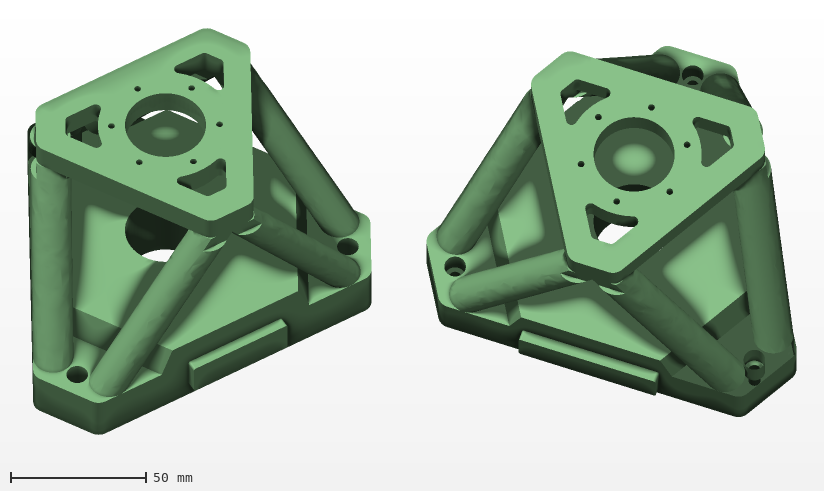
import cadquery as cq
import math

SECTORS = 3
SECTOR_ANGLE = 360 / SECTORS
OVERLAP = 1.0

corner_fillet = 5.0
center_hole_diameter = 30.0

base_side_distance = 50.0
base_tip_distance = 76.0
base_height = 30.5
step_height = 19.0
step_wall_top_distance = 48.5
step_wall_foot_distance = 52.5

mount_hole_distance = 67.5
mount_hole_diameter = 4.5
counterbore_diameter = 8.0
counterbore_depth = 10.0

block_projection = 4.0
block_height = 13.0
block_fillet = 1.0
rear_block_length = 53.5
side_block_length = 40.5
side_block_angle = -SECTOR_ANGLE

plate_side_distance = 32.0
plate_tip_distance = 48.0
plate_thickness = 10.0
total_height = 93.0
plate_bottom = total_height - plate_thickness

window_side_distance = 22.0
window_tip_distance = 37.0
window_inner_radius = 25.0
window_fillet = 2.0

tap_hole_count = 6
tap_circle_radius = 20.0
tap_hole_diameter = 2.5
tap_hole_depth = 6.0
drill_point_angle = 118.0

strut_diameter = 15.0
strut_plane_distance = base_side_distance - strut_diameter / 2
strut_foot_offset = 49.9
strut_head_offset = 4.0
neck_bottom = 78.0
neck_thickness = 2 * (plate_tip_distance - strut_plane_distance)


def turned(shape, angle):
    """Turn a shape about the part's vertical axis."""
    return shape.rotate((0, 0, 0), (0, 0, 1), angle)


def truncated_triangle(side_distance, tip_distance):
    """Sketch a triangle pointing to -Y, with its three tips cut off square."""
    half_tip = (2 * side_distance - tip_distance) * math.tan(math.radians(30))
    points = []
    for sector in range(SECTORS):
        tip_direction = math.radians(-90 + sector * SECTOR_ANGLE)
        for side in (-half_tip, half_tip):
            x = tip_distance * math.cos(tip_direction) - side * math.sin(tip_direction)
            y = tip_distance * math.sin(tip_direction) + side * math.cos(tip_direction)
            points.append((x, y))
    return cq.Workplane("XY").polyline(points).close()


def make_base():
    base = truncated_triangle(base_side_distance, base_tip_distance).extrude(base_height)
    base = base.edges("|Z").fillet(corner_fillet)

    step_cutter = (
        cq.Workplane("YZ")
        .polyline([
            (-step_wall_top_distance, base_height),
            (-step_wall_foot_distance, step_height),
            (-base_tip_distance - OVERLAP, step_height),
            (-base_tip_distance - OVERLAP, base_height),
        ])
        .close()
        .extrude(base_side_distance, both=True)
    )
    mount_hole = cq.Workplane("XY").center(0, -mount_hole_distance)
    mount_cutter = mount_hole.circle(mount_hole_diameter / 2).extrude(step_height)
    counterbore = (
        mount_hole.workplane(offset=step_height - counterbore_depth)
        .circle(counterbore_diameter / 2)
        .extrude(counterbore_depth)
    )
    for sector in range(SECTORS):
        for cutter in (step_cutter, mount_cutter, counterbore):
            base = base.cut(turned(cutter, sector * SECTOR_ANGLE))

    center_hole = cq.Workplane("XY").circle(center_hole_diameter / 2).extrude(base_height)
    return base.cut(center_hole)


def make_connector_block(length):
    """Block on the +Y side of the base, level with the lowered corners."""
    return (
        cq.Workplane("XY")
        .box(length, block_projection, block_height, centered=(True, False, False))
        .edges("|Y")
        .fillet(block_fillet)
        .translate((0, base_side_distance, step_height - block_height))
    )


def make_window_cutter():
    """Window inside the +Y corner of the plate, with an arc around the center hole."""
    blank = turned(
        truncated_triangle(window_side_distance, window_tip_distance).extrude(plate_thickness), 180
    )
    keep_out = cq.Workplane("XY").circle(window_inner_radius).extrude(plate_thickness)
    window = blank.cut(keep_out).solids(">Y")
    return cq.Workplane(window.val()).edges("|Z").fillet(window_fillet)


def make_tap_hole_cutter():
    """Drilled blind hole with a conical bottom, its mouth at the top of the plate."""
    radius = tap_hole_diameter / 2
    point_length = radius / math.tan(math.radians(drill_point_angle / 2))
    return (
        cq.Workplane("XZ")
        .polyline([
            (0, plate_thickness),
            (radius, plate_thickness),
            (radius, plate_thickness - tap_hole_depth),
            (0, plate_thickness - tap_hole_depth - point_length),
        ])
        .close()
        .revolve(360, (0, 0), (0, 1))
        .translate((0, tap_circle_radius, 0))
    )


def make_plate():
    outline = truncated_triangle(plate_side_distance, plate_tip_distance)
    plate = turned(outline.extrude(plate_thickness), 180).edges("|Z").fillet(corner_fillet)
    plate = plate.cut(cq.Workplane("XY").circle(center_hole_diameter / 2).extrude(plate_thickness))

    window = make_window_cutter()
    for sector in range(SECTORS):
        plate = plate.cut(turned(window, sector * SECTOR_ANGLE))

    tap_hole = make_tap_hole_cutter()
    for index in range(tap_hole_count):
        plate = plate.cut(turned(tap_hole, index * 360 / tap_hole_count))
    return plate.translate((0, 0, plate_bottom))


def make_strut(side):
    """Leaning bar over the +Y side of the base; side is -1 or 1 along X."""
    foot_center = cq.Vector(side * strut_foot_offset, strut_plane_distance, step_height)
    head_center = cq.Vector(side * strut_head_offset, strut_plane_distance, plate_bottom)
    foot = cq.Wire.makeCircle(strut_diameter / 2, foot_center, cq.Vector(0, 0, 1))
    return cq.Workplane(cq.Solid.extrudeLinear(foot, [], head_center - foot_center))


def make_strut_pair():
    """Two struts joined at their heads, with flats on both faces of the neck."""
    pair = make_strut(-1).union(make_strut(1))
    flat_size = (2 * strut_foot_offset, strut_diameter, plate_bottom - neck_bottom)
    for face in (-1, 1):
        flat_center = strut_plane_distance + face * (neck_thickness + strut_diameter) / 2
        flat_cutter = (
            cq.Workplane("XY")
            .box(*flat_size, centered=(True, True, False))
            .translate((0, flat_center, neck_bottom))
        )
        pair = pair.cut(flat_cutter)
    return pair


def make_frame():
    """Base, connector blocks, struts and top plate, all in one piece."""
    frame = make_base()
    frame = frame.union(make_connector_block(rear_block_length))
    frame = frame.union(turned(make_connector_block(side_block_length), side_block_angle))
    strut_pair = make_strut_pair()
    for sector in range(SECTORS):
        frame = frame.union(turned(strut_pair, sector * SECTOR_ANGLE))
    return frame.union(make_plate())


frame = make_frame()
result = cq.Compound.makeCompound([frame.val()])